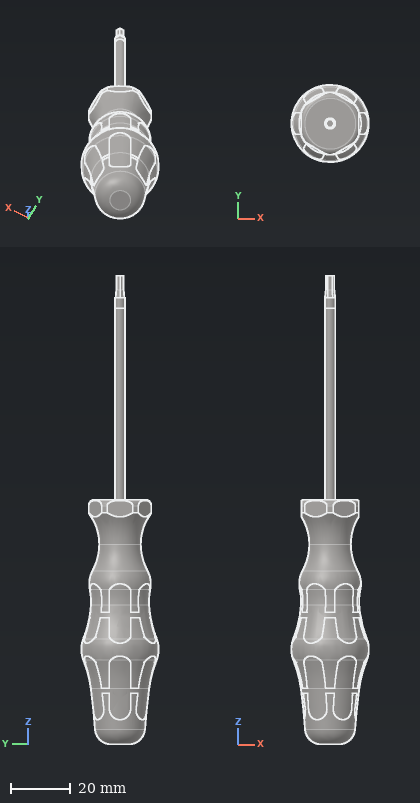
import cadquery as cq
import math

HANDLE_LENGTH = 82.0
BLADE_LENGTH = 75.0
TOTAL_LENGTH = HANDLE_LENGTH + BLADE_LENGTH

SHANK_DIAMETER = 3.5
TIP_LENGTH = 11.0
HEX_ACROSS_FLATS = 2.5
HEX_LENGTH = 4.7
HEX_RUNOUT_LENGTH = 2.7

HEAD_RADIUS = 10.5
HEAD_ROUNDING = 2.0
HEAD_BOTTOM = 77.5
HEAD_ACROSS_FLATS = 19.2
NECK = (7.0, 67.1)
SHOULDER_START = (9.3, 58.1)
SHOULDER_END = (10.2, 52.0)
WAIST = (9.8, 46.8)
BULGE_TOP = (12.34, 35.4)
BULGE_BOTTOM = (12.34, 28.3)
TAPER = (9.85, 18.9)
BASE_TOP = (8.45, 5.15)
BASE_ROUNDING = 5.0

SIDES = 6
PAD_WIDTH = 7.1
RING_HEIGHT = 1.8
UPPER_RING_BOTTOM = 42.5
UPPER_PADS_TOP = 53.8
UPPER_PADS_BOTTOM = 33.9
UPPER_GRIP_INNER_RADIUS = 8.0
LOWER_RING_BOTTOM = TAPER[1] - RING_HEIGHT
LOWER_PADS_TOP = 29.6
LOWER_PADS_BOTTOM = 8.3
LOWER_GRIP_INNER_RADIUS = 7.0
SHALLOW_END_RISE = 2.0
ROUND_END_RISE = PAD_WIDTH / 2
GRIP_REACH = 15.0


def around_axis(shape):
    """Copies of a shape turned about Z, one for each side of the handle."""
    return [shape.rotate((0, 0, 0), (0, 0, 1), 360 / SIDES * side) for side in range(SIDES)]


def left_of_axis(point):
    """A (radius, height) point placed on the -X side of the axis."""
    return (-point[0], point[1])


def handle_blank():
    """The whole handle as one turned shape with six flats on its head."""
    round_offset = HEAD_ROUNDING * math.sqrt(0.5)
    round_centre = (HEAD_RADIUS - HEAD_ROUNDING, HANDLE_LENGTH - HEAD_ROUNDING)
    round_middle = (round_centre[0] + round_offset, round_centre[1] + round_offset)
    round_end = (HEAD_RADIUS, round_centre[1])
    flare_rise = HEAD_BOTTOM - NECK[1]
    flare_width = HEAD_RADIUS - NECK[0]
    flare_radius = (flare_rise**2 + flare_width**2) / (2 * flare_width)
    flare_middle_z = NECK[1] + flare_rise / 2
    flare_middle_r = NECK[0] + flare_radius - math.sqrt(flare_radius**2 - (flare_rise / 2) ** 2)

    profile = (
        cq.Workplane("XZ")
        .moveTo(0, HANDLE_LENGTH)
        .lineTo(-round_centre[0], HANDLE_LENGTH)
        .threePointArc(left_of_axis(round_middle), left_of_axis(round_end))
        .lineTo(-HEAD_RADIUS, HEAD_BOTTOM)
        .threePointArc((-flare_middle_r, flare_middle_z), left_of_axis(NECK))
    )
    for point in (SHOULDER_START, SHOULDER_END, WAIST, BULGE_TOP, BULGE_BOTTOM, TAPER, BASE_TOP):
        profile = profile.tangentArcPoint(left_of_axis(point), relative=False)
    blank = (
        profile.tangentArcPoint((BASE_ROUNDING - BASE_TOP[0], 0), relative=False)
        .lineTo(0, 0)
        .close()
        .revolve(360, (0, 0, 0), (0, 1, 0))
    )

    flat_cutter = (
        cq.Workplane("XY", origin=(HEAD_ACROSS_FLATS / 2, 0, NECK[1]))
        .box(HEAD_RADIUS, 2 * HEAD_RADIUS, HANDLE_LENGTH - NECK[1], centered=(False, True, False))
    )
    for cutter in around_axis(flat_cutter):
        blank = blank.cut(cutter)
    return blank


def grip_pad(end_z, ring_z, end_rise, inner_radius):
    """A block pointing along +X, square at the ring and arched at its free end."""
    half = PAD_WIDTH / 2
    arch_z = end_z - math.copysign(end_rise, end_z - ring_z)
    return (
        cq.Workplane("YZ", origin=(inner_radius, 0, 0))
        .moveTo(-half, ring_z)
        .lineTo(-half, arch_z)
        .threePointArc((0, end_z), (half, arch_z))
        .lineTo(half, ring_z)
        .close()
        .extrude(GRIP_REACH - inner_radius)
    )


def grip_space(pads_top, pads_bottom, ring_bottom, bottom_rise, inner_radius):
    """The room a grip takes up: its ring and pads, reaching out past the handle surface."""
    ring_top = ring_bottom + RING_HEIGHT
    space = (
        cq.Workplane("XY", origin=(0, 0, ring_bottom))
        .circle(GRIP_REACH)
        .circle(inner_radius)
        .extrude(RING_HEIGHT)
    )
    upper_pad = grip_pad(pads_top, ring_top, SHALLOW_END_RISE, inner_radius)
    lower_pad = grip_pad(pads_bottom, ring_bottom, bottom_rise, inner_radius)
    for pad in around_axis(upper_pad) + around_axis(lower_pad):
        space = space.union(pad)
    return space


def build_shank():
    """The round shank, from the top of the handle to the tip."""
    return (
        cq.Workplane("XY", origin=(0, 0, HANDLE_LENGTH))
        .circle(SHANK_DIAMETER / 2)
        .extrude(BLADE_LENGTH - TIP_LENGTH)
    )


def build_tip():
    """The tip: a hexagon whose flats spread until its corners meet the round of the shank."""
    corner_diameter = HEX_ACROSS_FLATS / math.cos(math.pi / SIDES)
    base_height = TIP_LENGTH - HEX_LENGTH - HEX_RUNOUT_LENGTH

    base = (
        cq.Workplane("XY", origin=(0, 0, TOTAL_LENGTH - TIP_LENGTH))
        .circle(SHANK_DIAMETER / 2)
        .extrude(base_height)
    )
    runout = (
        base.faces(">Z")
        .workplane()
        .polygon(SIDES, SHANK_DIAMETER)
        .workplane(offset=HEX_RUNOUT_LENGTH)
        .polygon(SIDES, corner_diameter)
        .loft(ruled=True, combine=False)
    )
    hexagon = runout.faces(">Z").workplane().polygon(SIDES, corner_diameter).extrude(HEX_LENGTH, combine=False)
    return base.union(runout).union(hexagon)


blank = handle_blank()
upper_space = grip_space(
    UPPER_PADS_TOP, UPPER_PADS_BOTTOM, UPPER_RING_BOTTOM, SHALLOW_END_RISE, UPPER_GRIP_INNER_RADIUS
)
lower_space = grip_space(
    LOWER_PADS_TOP, LOWER_PADS_BOTTOM, LOWER_RING_BOTTOM, ROUND_END_RISE, LOWER_GRIP_INNER_RADIUS
)

upper_grip = blank.intersect(upper_space)
lower_grip = blank.intersect(lower_space)
handle = blank.cut(upper_space).cut(lower_space)
shank = build_shank()
tip = build_tip()

result = cq.Compound.makeCompound(
    [body.solids().val() for body in (handle, upper_grip, lower_grip, shank, tip)]
)